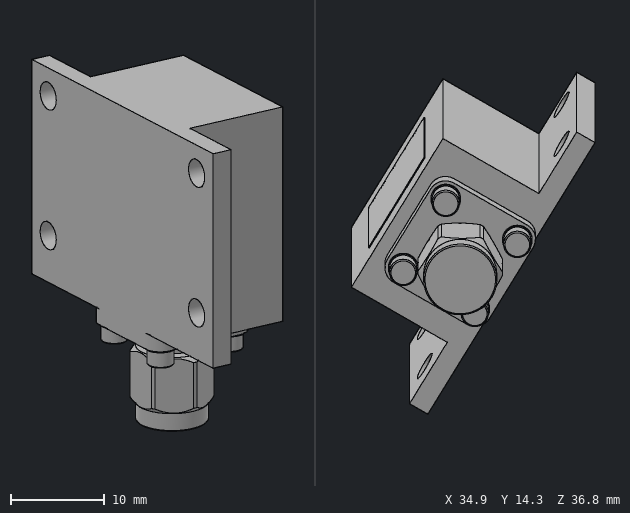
import cadquery as cq

PLATE_WIDTH = 34.9
PLATE_THICKNESS = 2.3
HOUSING_HEIGHT = 24.38
HOLE_DIAMETER = 3.1
HOLE_SPACING_X = 28.55
HOLE_SPACING_Z = 15.87
HOLE_EDGE_MARGIN = (PLATE_WIDTH - HOLE_SPACING_X) / 2

TOTAL_DEPTH = 14.3
PAD_THICKNESS = 0.1
PAD_WIDTH = 11.6
PAD_HEIGHT = 16.2
BODY_WIDTH = 19.1
BODY_DEPTH = TOTAL_DEPTH - PAD_THICKNESS

FLANGE_SIZE = 12.7
FLANGE_THICKNESS = 1.8
FLANGE_CORNER_RADIUS = 1.85
CONNECTOR_Y = FLANGE_SIZE / 2
NECK_DIAMETER = 5.4
NECK_LENGTH = 2.2
NUT_ACROSS_FLATS = 8.0
NUT_CORNER_DIAMETER = 9.0
NUT_LENGTH = 6.37
NUT_SIDES = 6
HALF_FLAT_ANGLE = 180 / NUT_SIDES
NUT_CHAMFER = 0.6
COLLAR_DIAMETER = NUT_CORNER_DIAMETER - 2 * NUT_CHAMFER
COLLAR_CHAMFER = 0.15
TOTAL_HEIGHT = 36.83

SCREW_SPACING = 8.88
SCREW_HEAD_DIAMETER = 2.9
SCREW_HEAD_LENGTH = 2.1
SCREW_HEAD_CHAMFER = 0.15
WASHER_DIAMETER = 3.15
WASHER_THICKNESS = 0.25

FLANGE_BOTTOM = -FLANGE_THICKNESS
NECK_BOTTOM = FLANGE_BOTTOM - NECK_LENGTH
NUT_BOTTOM = NECK_BOTTOM - NUT_LENGTH
CONNECTOR_BOTTOM = HOUSING_HEIGHT - TOTAL_HEIGHT


def front_block(width, y_front, depth, height):
    """Block centred on X and on the housing height, running back from y_front."""
    return cq.Workplane("XY").box(width, depth, height).translate(
        (0, y_front + depth / 2, HOUSING_HEIGHT / 2)
    )


def connector_plane(level):
    """Horizontal workplane on the connector axis."""
    return cq.Workplane("XY", origin=(0, CONNECTOR_Y, level))


def make_housing():
    plate = front_block(PLATE_WIDTH, 0, PLATE_THICKNESS, HOUSING_HEIGHT)
    body = front_block(BODY_WIDTH, 0, BODY_DEPTH, HOUSING_HEIGHT)
    pad = front_block(PAD_WIDTH, BODY_DEPTH, PAD_THICKNESS, PAD_HEIGHT)
    hole_center_z = HOUSING_HEIGHT - HOLE_EDGE_MARGIN - HOLE_SPACING_Z / 2
    holes = (
        cq.Workplane("XZ", origin=(0, 0, hole_center_z))
        .rarray(HOLE_SPACING_X, HOLE_SPACING_Z, 2, 2)
        .circle(HOLE_DIAMETER / 2)
        .extrude(-PLATE_THICKNESS)
    )
    return plate.cut(holes).union(body).union(pad)


def make_flange():
    return (
        connector_plane(FLANGE_BOTTOM)
        .rect(FLANGE_SIZE, FLANGE_SIZE)
        .extrude(FLANGE_THICKNESS)
        .edges("|Z")
        .fillet(FLANGE_CORNER_RADIUS)
    )


def make_screws():
    washers = (
        connector_plane(FLANGE_BOTTOM)
        .rarray(SCREW_SPACING, SCREW_SPACING, 2, 2)
        .circle(WASHER_DIAMETER / 2)
        .extrude(-WASHER_THICKNESS)
    )
    heads = (
        connector_plane(FLANGE_BOTTOM)
        .rarray(SCREW_SPACING, SCREW_SPACING, 2, 2)
        .circle(SCREW_HEAD_DIAMETER / 2)
        .extrude(-SCREW_HEAD_LENGTH)
        .faces("<Z")
        .edges()
        .chamfer(SCREW_HEAD_CHAMFER)
    )
    return washers.union(heads)


def make_nut():
    """Hexagon with two flats facing +/-Y, its corners turned down to a chamfered cylinder."""
    hexagon = (
        connector_plane(NUT_BOTTOM)
        .transformed(rotate=(0, 0, HALF_FLAT_ANGLE))
        .polygon(NUT_SIDES, NUT_ACROSS_FLATS, circumscribed=True)
        .extrude(NUT_LENGTH)
    )
    turned_blank = (
        connector_plane(NUT_BOTTOM)
        .circle(NUT_CORNER_DIAMETER / 2)
        .extrude(NUT_LENGTH)
        .edges()
        .chamfer(NUT_CHAMFER)
    )
    return hexagon.intersect(turned_blank)


def make_connector():
    neck = connector_plane(NECK_BOTTOM).circle(NECK_DIAMETER / 2).extrude(NECK_LENGTH)
    collar = (
        connector_plane(CONNECTOR_BOTTOM)
        .circle(COLLAR_DIAMETER / 2)
        .extrude(NUT_BOTTOM - CONNECTOR_BOTTOM)
        .faces("<Z")
        .edges()
        .chamfer(COLLAR_CHAMFER)
    )
    return make_flange().union(make_screws()).union(neck).union(make_nut()).union(collar)


result = make_housing().union(make_connector())